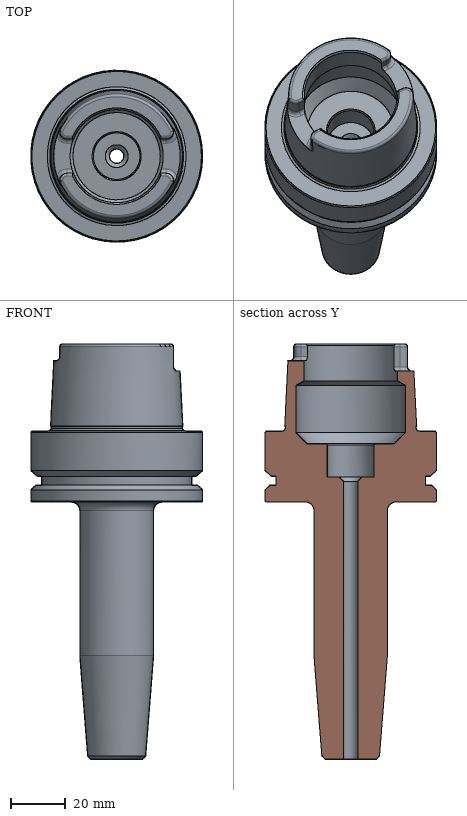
import cadquery as cq
import math

TOTAL_LENGTH = 152.0
TOP_Z = TOTAL_LENGTH / 2
TIP_Z = -TOTAL_LENGTH / 2
SHANK_LENGTH = 31.9
FLANGE_HEIGHT = 26.0
FACE_Z = TOP_Z - SHANK_LENGTH
FLANGE_BOTTOM_Z = FACE_Z - FLANGE_HEIGHT

SHANK_TOP_RADIUS = 22.72
SHANK_SLOPE = 1 / 20

RELIEF_TOP_HEIGHT = 2.0
RELIEF_STEP = 0.3
RELIEF_RADIUS = 48.0 / 2
RELIEF_BOTTOM_HEIGHT = 0.9
SKIRT_INNER_RADIUS = 24.5
SKIRT_OUTER_RADIUS = 25.4
SKIRT_HEIGHT = 0.3

FLANGE_RADIUS = 63.0 / 2
FLANGE_CHAMFER = 0.5
GROOVE_FLOOR_RADIUS = 55.0 / 2
GROOVE_OFFSET = 16.5
GROOVE_WIDTH = 3.2
GROOVE_TOP_Z = FACE_Z - GROOVE_OFFSET
GROOVE_BOTTOM_Z = GROOVE_TOP_Z - GROOVE_WIDTH
UPPER_LIP_RADIUS = 29.0
UPPER_LIP_HEIGHT = 2.1
LOWER_LIP_RADIUS = 29.6
LOWER_LIP_HEIGHT = 1.7

STEM_RADIUS = 27.0 / 2
STEM_FILLET = 3.0
NOSE_LENGTH = 38.0
NOSE_ANGLE = 4.5
NOSE_CHAMFER = 1.2

BORE_RADIUS = 34.0 / 2
BORE_RIM_CHAMFER = 0.6
BORE_DEPTH = 13.5
CHAMBER_RADIUS = 40.0 / 2
SHOULDER_ANGLE = 30.0
CHAMBER_DEPTH = 36.5
CHAMBER_FLOOR_RADIUS = 16.0
RECESS_RADIUS = 17.0 / 2
RECESS_DEPTH = 12.2
RECESS_CHAMFER = 0.5
HOLE_RADIUS = 5.2 / 2
COUNTERSINK_RADIUS = 8.4 / 2

SLOT_WIDTH = 12.5
SHALLOW_SLOT_DEPTH = 6.1
DEEP_SLOT_DEPTH = 9.9
SLOT_CORNER_RADIUS = 2.7
SLOT_FLAT_X = 20.8
SLOT_FLARE_WIDTH = 27.4
SLOT_FLOOR_FILLET = 1.5
LIP_FILLET = 1.0


def make_outer_body():
    """Revolve the outer outline: shank, flange, stem and nose."""
    relief_top_z = FACE_Z + RELIEF_TOP_HEIGHT
    shank_base_radius = SHANK_TOP_RADIUS + SHANK_SLOPE * (TOP_Z - relief_top_z)
    relief_bottom_z = FACE_Z + RELIEF_BOTTOM_HEIGHT
    nose_top_z = TIP_Z + NOSE_LENGTH
    nose_end_z = TIP_Z + NOSE_CHAMFER
    nose_taper = math.tan(math.radians(NOSE_ANGLE))
    nose_end_radius = STEM_RADIUS - (NOSE_LENGTH - NOSE_CHAMFER) * nose_taper
    fillet_offset = STEM_FILLET * (1 - math.sqrt(0.5))
    outline = (
        cq.Workplane("XZ")
        .moveTo(0, TOP_Z)
        .lineTo(SHANK_TOP_RADIUS, TOP_Z)
        .lineTo(shank_base_radius, relief_top_z)
        .lineTo(RELIEF_RADIUS, relief_top_z - RELIEF_STEP)
        .lineTo(RELIEF_RADIUS, relief_bottom_z)
        .lineTo(SKIRT_INNER_RADIUS, FACE_Z + SKIRT_HEIGHT)
        .lineTo(SKIRT_OUTER_RADIUS, FACE_Z)
        .lineTo(FLANGE_RADIUS - FLANGE_CHAMFER, FACE_Z)
        .lineTo(FLANGE_RADIUS, FACE_Z - FLANGE_CHAMFER)
        .lineTo(FLANGE_RADIUS, GROOVE_TOP_Z + UPPER_LIP_HEIGHT)
        .lineTo(UPPER_LIP_RADIUS, GROOVE_TOP_Z)
        .lineTo(GROOVE_FLOOR_RADIUS, GROOVE_TOP_Z)
        .lineTo(GROOVE_FLOOR_RADIUS, GROOVE_BOTTOM_Z)
        .lineTo(LOWER_LIP_RADIUS, GROOVE_BOTTOM_Z)
        .lineTo(FLANGE_RADIUS, GROOVE_BOTTOM_Z - LOWER_LIP_HEIGHT)
        .lineTo(FLANGE_RADIUS, FLANGE_BOTTOM_Z + FLANGE_CHAMFER)
        .lineTo(FLANGE_RADIUS - FLANGE_CHAMFER, FLANGE_BOTTOM_Z)
        .lineTo(STEM_RADIUS + STEM_FILLET, FLANGE_BOTTOM_Z)
        .threePointArc(
            (STEM_RADIUS + fillet_offset, FLANGE_BOTTOM_Z - fillet_offset),
            (STEM_RADIUS, FLANGE_BOTTOM_Z - STEM_FILLET),
        )
        .lineTo(STEM_RADIUS, nose_top_z)
        .lineTo(nose_end_radius, nose_end_z)
        .lineTo(nose_end_radius - NOSE_CHAMFER, TIP_Z)
        .lineTo(0, TIP_Z)
        .close()
    )
    return outline.revolve(360, (0, 0, 0), (0, 1, 0))


def make_cavity():
    """Revolve the inner outline: bore, undercut chamber, recess and through hole."""
    bore_end_z = TOP_Z - BORE_DEPTH
    shoulder_height = (CHAMBER_RADIUS - BORE_RADIUS) * math.tan(math.radians(SHOULDER_ANGLE))
    chamber_floor_z = TOP_Z - CHAMBER_DEPTH
    floor_cone_height = CHAMBER_RADIUS - CHAMBER_FLOOR_RADIUS
    recess_floor_z = chamber_floor_z - RECESS_DEPTH
    countersink_depth = COUNTERSINK_RADIUS - HOLE_RADIUS
    outline = (
        cq.Workplane("XZ")
        .moveTo(0, TOP_Z)
        .lineTo(BORE_RADIUS + BORE_RIM_CHAMFER, TOP_Z)
        .lineTo(BORE_RADIUS, TOP_Z - BORE_RIM_CHAMFER)
        .lineTo(BORE_RADIUS, bore_end_z)
        .lineTo(CHAMBER_RADIUS, bore_end_z - shoulder_height)
        .lineTo(CHAMBER_RADIUS, chamber_floor_z + floor_cone_height)
        .lineTo(CHAMBER_FLOOR_RADIUS, chamber_floor_z)
        .lineTo(RECESS_RADIUS + RECESS_CHAMFER, chamber_floor_z)
        .lineTo(RECESS_RADIUS, chamber_floor_z - RECESS_CHAMFER)
        .lineTo(RECESS_RADIUS, recess_floor_z)
        .lineTo(COUNTERSINK_RADIUS, recess_floor_z)
        .lineTo(HOLE_RADIUS, recess_floor_z - countersink_depth)
        .lineTo(HOLE_RADIUS, TIP_Z)
        .lineTo(0, TIP_Z)
        .close()
    )
    return outline.revolve(360, (0, 0, 0), (0, 1, 0))


def make_slot(depth, side):
    """Cutter for one drive slot; side is +1 for +X or -1 for -X."""
    half_width = SLOT_WIDTH / 2
    half_flare = SLOT_FLARE_WIDTH / 2
    corner_start_x = SLOT_FLAT_X - SLOT_CORNER_RADIUS
    corner_end_y = half_width + SLOT_CORNER_RADIUS
    corner_offset = SLOT_CORNER_RADIUS * math.sqrt(0.5)
    corner_mid = (corner_start_x + corner_offset, corner_end_y - corner_offset)
    cutter = (
        cq.Workplane("XY", origin=(0, 0, TOP_Z - depth))
        .moveTo(0, -half_width)
        .lineTo(side * corner_start_x, -half_width)
        .threePointArc((side * corner_mid[0], -corner_mid[1]), (side * SLOT_FLAT_X, -corner_end_y))
        .lineTo(side * SLOT_FLAT_X, -half_flare)
        .lineTo(side * FLANGE_RADIUS, -half_flare)
        .lineTo(side * FLANGE_RADIUS, half_flare)
        .lineTo(side * SLOT_FLAT_X, half_flare)
        .lineTo(side * SLOT_FLAT_X, corner_end_y)
        .threePointArc((side * corner_mid[0], corner_mid[1]), (side * corner_start_x, half_width))
        .lineTo(0, half_width)
        .close()
        .extrude(depth)
    )
    return cutter.faces("<Z").edges().fillet(SLOT_FLOOR_FILLET)


body = make_outer_body()
body = body.cut(make_slot(SHALLOW_SLOT_DEPTH, -1))
body = body.cut(make_slot(DEEP_SLOT_DEPTH, 1))

body = body.faces(">Z").edges().fillet(LIP_FILLET)
result = body.cut(make_cavity())